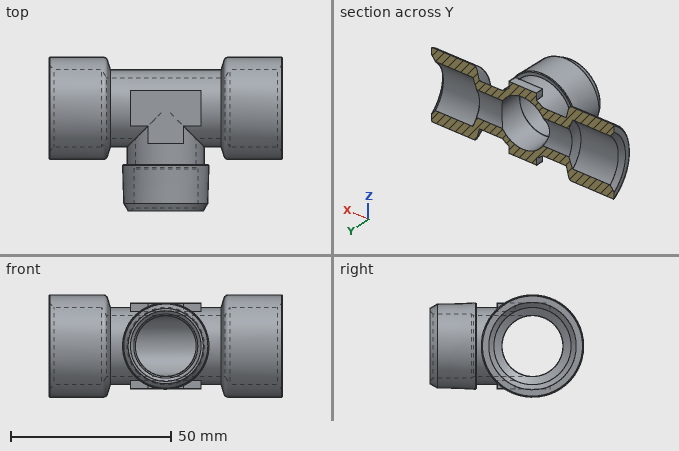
import cadquery as cq
import math

half_length = 36.5
tip_distance = 32.05
tube_radius = 12.05
bore_radius = 9.5

socket_radius = 16.0
socket_straight = 16.9
socket_edge_chamfer = 0.4
shoulder_round = 1.45
shoulder_slope = math.radians(17)
socket_bore_radius = 12.05
socket_mouth_radius = 13.65
socket_depth = 16.5
socket_mouth_angle = math.radians(45)
socket_floor_angle = math.radians(59)

thread_start = 17.5
thread_radius = 13.5
thread_taper = 1 / 32
thread_edge_chamfer = 0.3
tip_chamfer_length = 2.4
tip_chamfer_angle = math.radians(30)
branch_bore_radius = 10.0
branch_mouth_radius = 11.0
branch_mouth_angle = math.radians(45)
branch_bore_end = 19.0
branch_floor_angle = math.radians(45)

flat_height = 13.35
flat_base = 10.2
flat_half_width = 11.0
flat_half_depth = flat_half_width / 2
stem_half_width = flat_half_width / 2


def revolve_about_x(profile):
    """Revolve a closed (x, radius) profile about the X axis."""
    return profile.close().revolve(360, (0, 0, 0), (1, 0, 0))


def revolve_about_y(profile):
    """Revolve a closed (radius, y) profile about the Y axis."""
    return profile.close().revolve(360, (0, 0, 0), (0, 1, 0))


def both_ends(body):
    """Add the mirrored copy at the opposite end of the run."""
    return body.union(body.mirror("YZ"))


def socket_body():
    """Right-hand socket with a rounded, sloping inner shoulder."""
    round_start = half_length - socket_straight
    round_center_radius = socket_radius - shoulder_round
    half_turn = (math.pi / 2 - shoulder_slope) / 2

    def round_point(turn):
        return (
            round_start - shoulder_round * math.sin(turn),
            round_center_radius + shoulder_round * math.cos(turn),
        )

    round_end = round_point(2 * half_turn)
    shoulder_foot = round_end[0] - (round_end[1] - tube_radius) * math.tan(shoulder_slope)
    return revolve_about_x(
        cq.Workplane("XY")
        .moveTo(half_length, 0)
        .lineTo(half_length, socket_radius - socket_edge_chamfer)
        .lineTo(half_length - socket_edge_chamfer, socket_radius)
        .lineTo(round_start, socket_radius)
        .threePointArc(round_point(half_turn), round_end)
        .lineTo(shoulder_foot, tube_radius)
        .lineTo(shoulder_foot, 0)
    )


def socket_cavity():
    """Right-hand socket bore with a conical mouth and a conical floor."""
    mouth_depth = (socket_mouth_radius - socket_bore_radius) / math.tan(socket_mouth_angle)
    floor_depth = (socket_bore_radius - bore_radius) / math.tan(socket_floor_angle)
    bore_end = half_length - socket_depth
    return revolve_about_x(
        cq.Workplane("XY")
        .moveTo(half_length, 0)
        .lineTo(half_length, socket_mouth_radius)
        .lineTo(half_length - mouth_depth, socket_bore_radius)
        .lineTo(bore_end, socket_bore_radius)
        .lineTo(bore_end - floor_depth, bore_radius)
        .lineTo(bore_end - floor_depth, 0)
    )


def branch_body():
    """Plain neck followed by the tapered male end."""
    taper_end = tip_distance - tip_chamfer_length
    taper_end_radius = thread_radius - (taper_end - thread_start) * thread_taper
    tip_radius = taper_end_radius - tip_chamfer_length * math.tan(tip_chamfer_angle)
    return revolve_about_y(
        cq.Workplane("XY")
        .lineTo(tube_radius, 0)
        .lineTo(tube_radius, -thread_start)
        .lineTo(thread_radius - thread_edge_chamfer, -thread_start)
        .lineTo(thread_radius, -thread_start - thread_edge_chamfer)
        .lineTo(taper_end_radius, -taper_end)
        .lineTo(tip_radius, -tip_distance)
        .lineTo(0, -tip_distance)
    )


def branch_cavity():
    """Branch bore with a conical mouth and a conical step."""
    mouth_depth = (branch_mouth_radius - branch_bore_radius) / math.tan(branch_mouth_angle)
    floor_depth = (branch_bore_radius - bore_radius) / math.tan(branch_floor_angle)
    return revolve_about_y(
        cq.Workplane("XY")
        .lineTo(bore_radius, 0)
        .lineTo(bore_radius, floor_depth - branch_bore_end)
        .lineTo(branch_bore_radius, -branch_bore_end)
        .lineTo(branch_bore_radius, mouth_depth - tip_distance)
        .lineTo(branch_mouth_radius, -tip_distance)
        .lineTo(0, -tip_distance)
    )


def wrench_flat():
    """Upper T-shaped pad, with its stem along the branch."""
    return (
        cq.Workplane("XY", origin=(0, 0, flat_base))
        .moveTo(-flat_half_width, flat_half_depth)
        .lineTo(flat_half_width, flat_half_depth)
        .lineTo(flat_half_width, -flat_half_depth)
        .lineTo(stem_half_width, -flat_half_depth)
        .lineTo(stem_half_width, -2 * flat_half_depth)
        .lineTo(-stem_half_width, -2 * flat_half_depth)
        .lineTo(-stem_half_width, -flat_half_depth)
        .lineTo(-flat_half_width, -flat_half_depth)
        .close()
        .extrude(flat_height - flat_base)
    )


def run_cylinder(radius):
    return cq.Workplane("YZ").circle(radius).extrude(half_length - socket_edge_chamfer, both=True)


upper_flat = wrench_flat()
body = (
    run_cylinder(tube_radius)
    .union(both_ends(socket_body()))
    .union(branch_body())
    .union(upper_flat)
    .union(upper_flat.mirror("XY"))
)
cavity = run_cylinder(bore_radius).union(both_ends(socket_cavity())).union(branch_cavity())
result = body.cut(cavity)